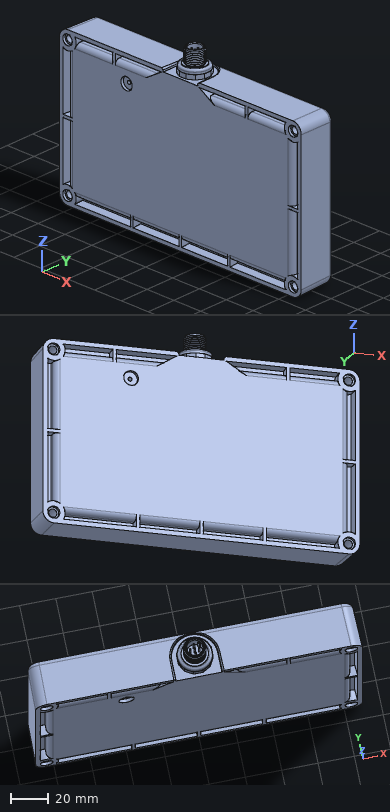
import cadquery as cq
import math

width = 180.1
height = 105.2
depth = 25.8
total_height = 118.7
corner_radius = 6.3
side_draft = 1.2
back_edge_radius = 2.9
center_z = height / 2

rim_wall = 2.7
pocket_width = 7.0
pocket_depth = 6.0
pocket_round = 3.2
pocket_wall_draft = 0.45
rib = 2.0
top_rib_x = 49.3
bottom_rib_x = 36.0
top_end_outer_x = 14.0
top_end_inner_x = 25.4

boss_inset = 6.1
boss_radius = 6.5
screw_head_radius = 3.5
screw_head_depth = 1.8
screw_hole_radius = 2.3
screw_hole_depth = 19.8

vent_x = -40.0
vent_z = 87.2
vent_radius = 4.1
vent_recess = 2.0
vent_hole_radius = 1.0
vent_hole_depth = 5.4

connector_y = 11.5
seat_radius = 12.6
seat_z = 103.0
seat_chamfer = 1.3
seat_wall_draft = 10
nut_radius = 9.9
nut_sides = 12
nut_top_z = 106.0
flange_radius = 9.5
flange_top_z = 109.0
flange_round = 1.5
flange_groove_radius = 7.4
flange_groove_depth = 0.5
thread_major_radius = 6.1
thread_minor_radius = 5.4
thread_pitch = 1.0
thread_turns = 8
socket_radius = 4.3
socket_rim_chamfer = 0.5
socket_floor_z = 110.8
pin_radius = 0.45
pin_circle_radius = 2.43
pin_top_z = 116.7
key_size = 1.5


def along_y(y):
    """Workplane parallel to the open face, offset to the given Y."""
    return cq.Workplane("XZ", origin=(0, y, 0))


def cylinder_y(x, z, radius, length):
    return along_y(0).center(x, z).circle(radius).extrude(-length)


def cylinder_z(x, y, radius, z_low, z_high):
    return cq.Workplane("XY", origin=(x, y, z_low)).circle(radius).extrude(z_high - z_low)


def housing():
    block = along_y(0).center(0, center_z).rect(width, height).extrude(-depth, taper=side_draft)
    block = block.edges("not(#Y or |X or |Z)").fillet(corner_radius)
    return block.faces(">Y").edges().fillet(back_edge_radius)


def trough(length):
    """Groove along X: outer wall at z = 0, rounded inner edge at z = -pocket_width."""
    return (
        cq.Workplane("YZ", origin=(-length / 2, 0, 0))
        .moveTo(0, 0)
        .lineTo(pocket_depth, -pocket_wall_draft)
        .lineTo(pocket_depth, pocket_round - pocket_width)
        .lineTo(pocket_round, pocket_round - pocket_width)
        .radiusArc((0, -pocket_width), -pocket_round)
        .close()
        .extrude(length)
    )


def rib_block(x, z, size_x, size_z):
    return along_y(0).center(x, z).rect(size_x, size_z).extrude(-depth)


def pockets():
    long_trough = trough(width - 2 * boss_inset)
    side_trough = trough(height - 2 * boss_inset)
    top_z = height - rim_wall
    side_x = width / 2 - rim_wall
    axis_end = (0, 1, 0)

    top = long_trough.translate((0, 0, top_z))
    bottom = long_trough.rotate((0, 0, 0), axis_end, 180).translate((0, 0, rim_wall))
    right = side_trough.rotate((0, 0, 0), axis_end, 90).translate((side_x, 0, center_z))
    left = side_trough.rotate((0, 0, 0), axis_end, -90).translate((-side_x, 0, center_z))

    land = (
        along_y(0)
        .polyline([
            (-top_end_outer_x, top_z),
            (top_end_outer_x, top_z),
            (top_end_inner_x, top_z - pocket_width),
            (-top_end_inner_x, top_z - pocket_width),
        ])
        .close()
        .extrude(-depth)
    )
    top = top.cut(land)
    for x in (-top_rib_x, top_rib_x):
        top = top.cut(rib_block(x, top_z, rib, 2 * pocket_width))
    for x in (-bottom_rib_x, 0, bottom_rib_x):
        bottom = bottom.cut(rib_block(x, rim_wall, rib, 2 * pocket_width))
    side_rib = rib_block(0, center_z, width, rib)

    grooves = [top, bottom, left.cut(side_rib), right.cut(side_rib)]
    for x, z in screw_points():
        boss = cylinder_y(x, z, boss_radius, depth)
        grooves = [groove.cut(boss) for groove in grooves]
    return grooves


def screw_points():
    x = width / 2 - boss_inset
    return [(sx * x, z) for sx in (-1, 1) for z in (boss_inset, height - boss_inset)]


def screw_hole(x, z):
    head = cylinder_y(x, z, screw_head_radius, screw_head_depth)
    return head.union(cylinder_y(x, z, screw_hole_radius, screw_hole_depth))


def vent():
    recess = cylinder_y(vent_x, vent_z, vent_radius, vent_recess)
    return recess.union(cylinder_y(vent_x, vent_z, vent_hole_radius, vent_recess + vent_hole_depth))


def seat_outline(z, radius):
    """U-shaped outline that runs out past the open face of the housing."""
    return (
        cq.Workplane("XY", origin=(0, 0, z))
        .moveTo(-radius, -seat_chamfer)
        .lineTo(-radius, connector_y)
        .threePointArc((0, connector_y + radius), (radius, connector_y))
        .lineTo(radius, -seat_chamfer)
        .close()
    )


def seat():
    pocket = seat_outline(seat_z, seat_radius).extrude(height - seat_z, taper=-seat_wall_draft)
    rim = seat_outline(height, seat_radius + seat_chamfer).extrude(-seat_chamfer, taper=45)
    return pocket.union(rim)


def connector():
    nut = (
        cq.Workplane("XY", origin=(0, connector_y, seat_z))
        .transformed(rotate=(0, 0, 180 / nut_sides))
        .polygon(nut_sides, 2 * nut_radius)
        .extrude(nut_top_z - seat_z)
    )
    flange = cylinder_z(0, connector_y, flange_radius, nut_top_z, flange_top_z)
    flange = flange.faces(">Z").edges().fillet(flange_round)
    groove_z = flange_top_z - flange_groove_depth
    flange = flange.cut(cylinder_z(0, connector_y, flange_groove_radius, groove_z, flange_top_z))
    return nut.union(flange).union(threaded_sleeve())


def threaded_sleeve():
    """Sleeve with ring-shaped thread ridges, a keyed socket and contact pins."""
    profile = [(0, nut_top_z), (thread_minor_radius, nut_top_z)]
    for turn in range(thread_turns):
        z = flange_top_z + turn * thread_pitch
        profile.append((thread_minor_radius, z))
        profile.append((thread_major_radius, z + thread_pitch / 2))
    profile.append((thread_minor_radius, flange_top_z + thread_turns * thread_pitch))
    profile += [(thread_minor_radius, total_height), (0, total_height)]
    sleeve = cq.Workplane("XZ").polyline(profile).close().revolve(360, (0, 0, 0), (0, 1, 0))
    sleeve = sleeve.translate((0, connector_y, 0))

    socket = cylinder_z(0, connector_y, socket_radius, socket_floor_z, total_height)
    key = (
        cq.Workplane("XY", origin=(0, connector_y, socket_floor_z))
        .transformed(rotate=(0, 0, 45))
        .center(socket_radius, 0)
        .rect(key_size, key_size)
        .extrude(pin_top_z - socket_floor_z)
    )
    sleeve = sleeve.cut(socket.cut(key))
    socket_rim = cq.selectors.RadiusNthSelector(0)
    sleeve = sleeve.faces(">Z").edges(socket_rim).chamfer(socket_rim_chamfer)
    pins = [(0, 0)]
    for index in range(4):
        angle = index * math.pi / 2
        pins.append((pin_circle_radius * math.cos(angle), pin_circle_radius * math.sin(angle)))
    for x, y in pins:
        sleeve = sleeve.union(cylinder_z(x, connector_y + y, pin_radius, socket_floor_z, pin_top_z))
    return sleeve


result = housing()
for groove in pockets():
    result = result.cut(groove)
for x, z in screw_points():
    result = result.cut(screw_hole(x, z))
result = result.cut(vent()).cut(seat()).union(connector())